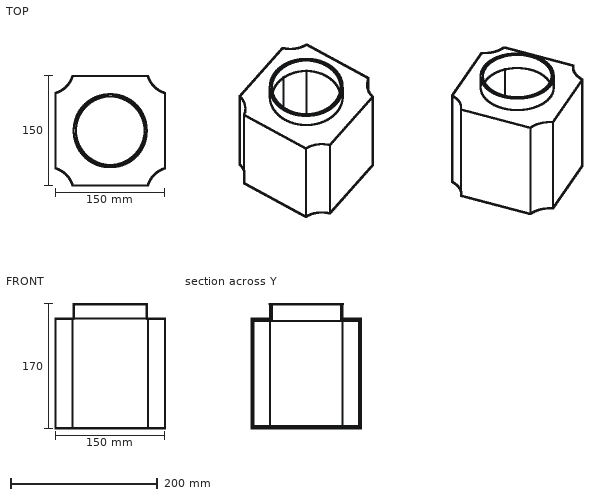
import cadquery as cq

body_width = 150.0
body_height = 150.0
wall = 3.0

flute_radius = 35.0
flute_offset = 10.0

neck_outer_diameter = 100.0
neck_height = 20.0
neck_inner_diameter = neck_outer_diameter - 2 * wall

flute_center = body_width / 2 + flute_offset
total_height = body_height + neck_height


def fluted_block(width, radius, bottom, top):
    """Square block with a concave round flute along each vertical edge."""
    height = top - bottom
    block = cq.Workplane("XY").workplane(offset=bottom).rect(width, width).extrude(height)
    flutes = (
        cq.Workplane("XY")
        .workplane(offset=bottom)
        .rect(2 * flute_center, 2 * flute_center, forConstruction=True)
        .vertices()
        .circle(radius)
        .extrude(height)
    )
    return block.cut(flutes)


def neck_cylinder(diameter, bottom, top):
    """Upright cylinder on the neck axis."""
    return cq.Workplane("XY").workplane(offset=bottom).circle(diameter / 2).extrude(top - bottom)


shell = fluted_block(body_width, flute_radius, 0, body_height)
neck = neck_cylinder(neck_outer_diameter, body_height - wall, total_height)

cavity = fluted_block(body_width - 2 * wall, flute_radius + wall, wall, body_height - wall)
mouth = neck_cylinder(neck_inner_diameter, body_height - 2 * wall, total_height)

result = shell.union(neck).cut(cavity).cut(mouth)